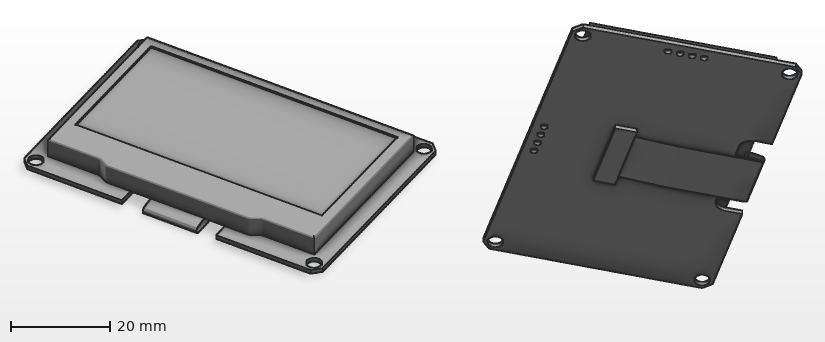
import cadquery as cq
import math


board_length = 70.1
board_width = 48.1
board_thickness = 1.0
corner_chamfer = 1.75
mount_hole_diameter = 3.2
mount_hole_inset = 2.4
pin_hole_diameter = 1.5
pin_pitch = 2.5
pin_count = 4
notch_width = 22.15
notch_depth = 6.3
notch_corner_radius = 2.65

connector_length = 16.55
connector_width = 4.55
connector_height = 1.0
connector_front_y = 3.4

panel_length = 62.65
panel_height = 4.35
panel_back_y = 19.8
panel_front_y = -19.35
lip_projection = 1.25
lip_length = 33.65
lip_angle = 30.0
lip_corner_radius = 1.4
panel_edge_radius = 0.5
window_length = 57.9
window_back_y = 17.45
window_front_y = -12.3
window_depth = 0.4

ribbon_width = 12.6
ribbon_thickness = 0.105
ribbon_root_y = -19.9
ribbon_root_embed = 0.1
ribbon_tip_y = -23.8
fold_top_z = 0.6
arch_peak_z = 1.0
ribbon_ramp_y = -6.3
ribbon_entry_z = -0.4

hole_row_x = board_length / 2 - mount_hole_inset
hole_row_y = board_width / 2 - mount_hole_inset
board_front_y = -board_width / 2


def box_between(length, front_y, back_y, bottom_z, height):
    """Box centred on X, spanning front_y to back_y and rising from bottom_z."""
    return (
        cq.Workplane("XY", origin=(0, (front_y + back_y) / 2, bottom_z))
        .rect(length, back_y - front_y)
        .extrude(height)
    )


def make_connector():
    back_y = connector_front_y + connector_width
    return box_between(connector_length, connector_front_y, back_y, -connector_height, connector_height)


def make_board():
    plate = (
        cq.Workplane("XY")
        .rect(board_length, board_width)
        .extrude(board_thickness)
        .edges("|Z")
        .chamfer(corner_chamfer)
    )
    notch = (
        box_between(notch_width, board_front_y, board_front_y + notch_depth, 0, board_thickness)
        .edges("|Z and >Y")
        .fillet(notch_corner_radius)
    )
    mount_holes = (
        cq.Workplane("XY")
        .rect(2 * hole_row_x, 2 * hole_row_y, forConstruction=True)
        .vertices()
        .circle(mount_hole_diameter / 2)
        .extrude(board_thickness)
    )
    plate = plate.cut(notch).cut(mount_holes)

    for index in range(pin_count):
        offset = (index - (pin_count - 1) / 2) * pin_pitch
        pin_holes = (
            cq.Workplane("XY")
            .pushPoints([(offset, hole_row_y), (-hole_row_x, offset)])
            .circle(pin_hole_diameter / 2)
            .extrude(board_thickness)
        )
        plate = plate.cut(pin_holes)
    return plate.union(make_connector())


def make_panel():
    """Display frame with a shallow window and a sloped-sided lip in front."""
    half_length = panel_length / 2
    lip_front_y = panel_front_y - lip_projection
    lip_tip_x = lip_length / 2
    lip_root_x = lip_tip_x + lip_projection / math.tan(math.radians(lip_angle))
    outline = [
        (-half_length, panel_back_y),
        (-half_length, panel_front_y),
        (-lip_root_x, panel_front_y),
        (-lip_tip_x, lip_front_y),
        (lip_tip_x, lip_front_y),
        (lip_root_x, panel_front_y),
        (half_length, panel_front_y),
        (half_length, panel_back_y),
    ]
    panel = cq.Workplane("XY", origin=(0, 0, board_thickness)).polyline(outline).close().extrude(panel_height)

    margin = 0.7
    lip_zone = cq.selectors.BoxSelector(
        (-lip_root_x - margin, lip_front_y - margin, 0),
        (lip_root_x + margin, panel_front_y + margin, board_thickness + panel_height),
    )
    panel = panel.edges("|Z").edges(lip_zone).fillet(lip_corner_radius)
    panel = panel.faces(">Z").edges().fillet(panel_edge_radius)

    window_floor_z = board_thickness + panel_height - window_depth
    window = box_between(window_length, window_front_y, window_back_y, window_floor_z, window_depth)
    return panel.cut(window)


def make_ribbon():
    """Thin strip: arched root, half-round fold, flat run, then a ramp up to the connector."""
    bottom_z = -connector_height
    fold_radius = (fold_top_z - bottom_z) / 2
    fold_y = ribbon_tip_y + fold_radius
    fold_z = bottom_z + fold_radius
    root_z = board_thickness + ribbon_root_embed
    arch_y = (ribbon_root_y + fold_y) / 2
    inner_bottom_z = bottom_z + ribbon_thickness
    return (
        cq.Workplane("YZ", origin=(-ribbon_width / 2, 0, 0))
        .moveTo(ribbon_root_y, root_z)
        .threePointArc((arch_y, arch_peak_z), (fold_y, fold_top_z))
        .threePointArc((ribbon_tip_y, fold_z), (fold_y, bottom_z))
        .lineTo(ribbon_ramp_y, bottom_z)
        .lineTo(connector_front_y, ribbon_entry_z - ribbon_thickness)
        .lineTo(connector_front_y, ribbon_entry_z)
        .lineTo(ribbon_ramp_y, inner_bottom_z)
        .lineTo(fold_y, inner_bottom_z)
        .threePointArc((ribbon_tip_y + ribbon_thickness, fold_z), (fold_y, fold_top_z - ribbon_thickness))
        .threePointArc((arch_y, arch_peak_z - ribbon_thickness), (ribbon_root_y, root_z - ribbon_thickness))
        .close()
        .extrude(ribbon_width)
    )


def make_display():
    return make_panel().union(make_ribbon())


board = make_board()
display = make_display()

result = cq.Compound.makeCompound([board.val(), display.val()])